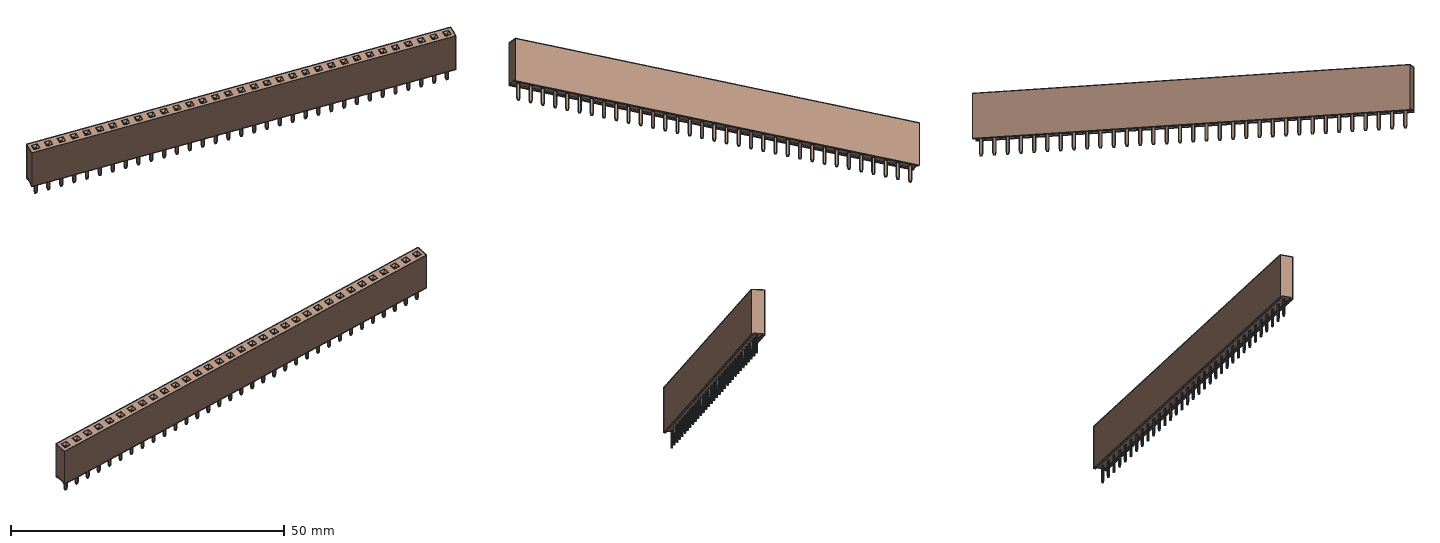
import cadquery as cq

contact_count = 33
housing_length = 83.8
housing_height = 8.5
pitch = housing_length / contact_count
housing_width = pitch

channel_width = 1.8
channel_depth = 0.25

funnel_mouth = 1.2
funnel_throat = 0.3
funnel_depth = 0.4
socket_depth = 5.9

overall_height = 11.6
pin_width = 0.6
pin_thickness = 0.2
pin_tip_width = pin_width / 2
pin_tip_length = 0.5

pin_bottom = housing_height - overall_height
contact_positions = [
    (0, (index - (contact_count - 1) / 2) * pitch) for index in range(contact_count)
]


def make_housing():
    """Bar with the channel cut along its underside."""
    bar = cq.Workplane("XY").box(
        housing_width, housing_length, housing_height, centered=(True, True, False)
    )
    channel = cq.Workplane("XY").box(
        channel_width, housing_length, channel_depth, centered=(True, True, False)
    )
    return bar.cut(channel)


def make_socket():
    """Cutter for one opening, with its mouth on the top face."""
    funnel = (
        cq.Workplane("XY", origin=(0, 0, housing_height))
        .rect(funnel_mouth, funnel_mouth)
        .workplane(offset=-funnel_depth)
        .rect(funnel_throat, funnel_throat)
        .loft(ruled=True)
    )
    hole = (
        cq.Workplane("XY", origin=(0, 0, housing_height - socket_depth))
        .rect(funnel_throat, funnel_throat)
        .extrude(socket_depth - funnel_depth)
    )
    return funnel.union(hole)


def make_pin():
    """One flat pin, from its narrow tip up to the channel roof."""
    taper_top = pin_bottom + pin_tip_length
    return (
        cq.Workplane("YZ")
        .polyline([
            (-pin_tip_width / 2, pin_bottom),
            (pin_tip_width / 2, pin_bottom),
            (pin_width / 2, taper_top),
            (pin_width / 2, channel_depth),
            (-pin_width / 2, channel_depth),
            (-pin_width / 2, taper_top),
        ])
        .close()
        .extrude(pin_thickness / 2, both=True)
    )


def at_each_contact(shape):
    """Copies of a shape at every contact position."""
    solid = shape.val()
    return (
        cq.Workplane("XY")
        .pushPoints(contact_positions)
        .eachpoint(lambda location: solid.moved(location))
    )


result = make_housing().cut(at_each_contact(make_socket())).union(at_each_contact(make_pin()))